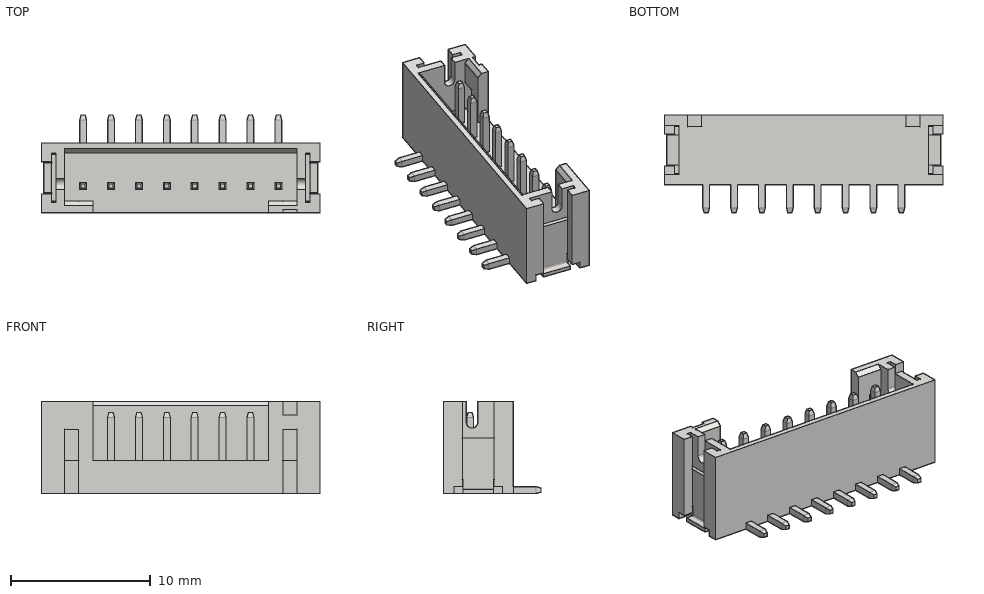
import cadquery as cq

length = 19.95
depth = 5.0
height = 6.6

end_wall = 1.65
front_wall = 0.84
back_wall = 0.72
floor_top = 2.35
rim_chamfer = 0.3
cavity_length = length - 2 * end_wall

window_from_end = 3.71
keyway_width = 1.02
keyway_top = 4.59
mark_depth = 0.24
mark_height = 1.0

pin_count = 8
pin_pitch = 2.0
pin_size = 0.5
pin_y = 1.92
pin_top = 5.8
pin_reach = 2.0
tip_length = 0.35
tip_size = 0.3

tab_x = 0.74
tab_thickness = 0.3
recess_width = 2.27
slot_width = 3.5
foot_clearance_height = 0.5
notch_width = 0.8
notch_y = 2.05
notch_bottom = 4.69

tab_top = 3.99
tab_width = 3.37
tongue_width = 2.15
tongue_top = 1.0
foot_x = 0.15
bend_radius = 0.05


def block(x0, x1, y0, y1, z0, z1):
    """Box between opposite corners."""
    return cq.Workplane("XY").box(x1 - x0, y1 - y0, z1 - z0, centered=False).translate((x0, y0, z0))


def mid_block(x0, x1, width, z0, z1):
    """Box of the given Y width, centred on the depth of the housing."""
    return block(x0, x1, (depth - width) / 2, (depth + width) / 2, z0, z1)


def opposite(shape):
    """Mirror image of a left-end shape, for the right end."""
    return shape.mirror("YZ").translate((length, 0, 0))


def make_cavity():
    """Open-topped cavity whose front and back rims are chamfered."""
    y0 = front_wall
    y1 = depth - back_wall
    chamfer_bottom = height - rim_chamfer
    profile = [
        (y0, floor_top),
        (y1, floor_top),
        (y1, chamfer_bottom),
        (y1 + rim_chamfer, height),
        (y0 - rim_chamfer, height),
        (y0, chamfer_bottom),
    ]
    return cq.Workplane("YZ").polyline(profile).close().extrude(cavity_length).translate((end_wall, 0, 0))


def make_end_cut():
    """Everything removed from the left end wall."""
    slot_inner_x = tab_x + tab_thickness
    recess = mid_block(0, tab_x, recess_width, 0, height)
    slot = mid_block(tab_x, slot_inner_x, slot_width, 0, height)
    foot_clearance = mid_block(0, slot_inner_x, slot_width, 0, foot_clearance_height)
    radius = notch_width / 2
    arc_z = notch_bottom + radius
    notch_top = block(0, end_wall, notch_y - radius, notch_y + radius, arc_z, height)
    notch_round = cq.Workplane("YZ").center(notch_y, arc_z).circle(radius).extrude(end_wall)
    return recess.union(slot).union(foot_clearance).union(notch_top).union(notch_round)


def make_pin(pin_length):
    """Square pin along Z with a tapered tip."""
    shank_length = pin_length - tip_length
    shank = cq.Workplane("XY").rect(pin_size, pin_size).extrude(shank_length)
    tip = (
        cq.Workplane("XY", origin=(0, 0, shank_length))
        .rect(pin_size, pin_size)
        .workplane(offset=tip_length)
        .rect(tip_size, tip_size)
        .loft(ruled=True)
    )
    return shank.union(tip)


def make_housing():
    """Housing in one piece with its contact and solder pins."""
    housing = block(0, length, 0, depth, 0, height).cut(make_cavity())
    housing = housing.cut(block(window_from_end, length - window_from_end, 0, front_wall, floor_top, height))

    keyway = block(end_wall, end_wall + keyway_width, 0, front_wall, 0, keyway_top)
    housing = housing.cut(keyway).cut(opposite(keyway))
    mark = block(end_wall, end_wall + keyway_width, 0, mark_depth, height - mark_height, height)
    housing = housing.cut(opposite(mark))

    end_cut = make_end_cut()
    housing = housing.cut(end_cut).cut(opposite(end_cut))

    contact_root = floor_top / 2
    contact_pin = make_pin(pin_top - contact_root)
    solder_pin = make_pin(pin_reach + back_wall).rotate((0, 0, 0), (1, 0, 0), -90)
    for i in range(pin_count):
        x = length / 2 + (i - (pin_count - 1) / 2) * pin_pitch
        housing = housing.union(contact_pin.translate((x, pin_y, contact_root)))
        housing = housing.union(solder_pin.translate((x, depth - back_wall, pin_size / 2)))
    return housing


def make_tab():
    """Left solder tab: plate in the slot, with a tongue bent outwards into a foot."""
    inner_x = tab_x + tab_thickness
    plate = mid_block(tab_x, inner_x, tab_width, tongue_top, tab_top)
    tongue_profile = (
        cq.Workplane("XZ")
        .moveTo(foot_x, 0)
        .lineTo(inner_x, 0)
        .lineTo(inner_x, tongue_top)
        .lineTo(tab_x, tongue_top)
        .lineTo(tab_x, tab_thickness + bend_radius)
        .radiusArc((tab_x - bend_radius, tab_thickness), bend_radius)
        .lineTo(foot_x, tab_thickness)
        .close()
    )
    tongue = tongue_profile.extrude(tongue_width).translate((0, (depth + tongue_width) / 2, 0))
    return plate.union(tongue)


housing = make_housing()
left_tab = make_tab()
right_tab = opposite(left_tab)

result = cq.Compound.makeCompound([housing.val(), left_tab.val(), right_tab.val()])